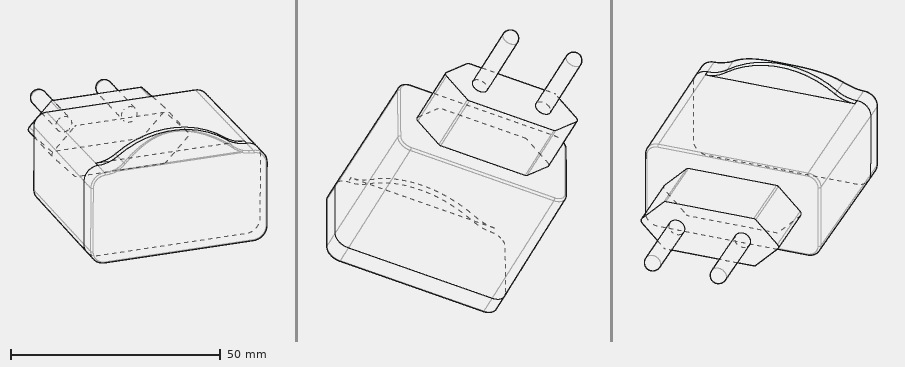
import cadquery as cq
import math


TILT = 0.4

BODY_WIDTH = 45.0
BODY_HEIGHT = 23.5
CORNER_RADIUS = 3.5
DRAFT = 0.43
HOUSING_LENGTH = 34.9
FRONT_EDGE_RADIUS = 0.5
CAP_LENGTH = 5.0
CAP_EDGE_RADIUS = 0.45
SEAM_X = HOUSING_LENGTH
REAR_X = SEAM_X + CAP_LENGTH
BODY_TOP = BODY_HEIGHT / 2

GRIP_HEIGHT = 6.2
GRIP_CREST_RADIUS = 23.6
GRIP_OVERHANG = 1.5

SLOPE_RADIUS = 12.75
SLOPE_DEPTH = 4.6
SLOPE_FOOT = 0.2
SLOPE_FOOT_RADIUS = 0.75

PLUG_LENGTH = 15.95
PLUG_HEIGHT = 13.35
PLUG_TIP_WIDTH = 35.7
PLUG_FLAT_WIDTH = 22.9
PLUG_TIP_RADIUS = 1.0
PLUG_SHOULDER_RADIUS = 0.7

PIN_RADIUS = 2.0
PIN_LENGTH = 18.95
PIN_SPACING = 16.7


def body_section(x):
    """Rounded rectangle shared by the housing and the cap, at position x."""
    outline = cq.Sketch().rect(BODY_WIDTH, BODY_HEIGHT).vertices().fillet(CORNER_RADIUS)
    return cq.Workplane("YZ", origin=(x, 0, 0)).placeSketch(outline)


def grip(x_start, length):
    """Length of the grip: a crest arc that runs into the body top by two foot arcs."""
    half_width = BODY_WIDTH / 2 - CORNER_RADIUS
    center_distance = (half_width**2 + GRIP_HEIGHT**2) / (2 * GRIP_HEIGHT)
    foot_radius = center_distance - GRIP_CREST_RADIUS
    crest_center = BODY_TOP + GRIP_HEIGHT - GRIP_CREST_RADIUS
    foot_center = BODY_TOP + foot_radius
    blend_angle = math.asin(half_width / center_distance)
    blend_y = GRIP_CREST_RADIUS * math.sin(blend_angle)
    blend_z = crest_center + GRIP_CREST_RADIUS * math.cos(blend_angle)
    foot_mid_y = half_width - foot_radius * math.sin(blend_angle / 2)
    foot_mid_z = foot_center - foot_radius * math.cos(blend_angle / 2)
    base_z = BODY_TOP - CORNER_RADIUS
    return (
        cq.Workplane("YZ", origin=(x_start, 0, 0))
        .moveTo(-half_width, base_z)
        .lineTo(-half_width, BODY_TOP)
        .threePointArc((-foot_mid_y, foot_mid_z), (-blend_y, blend_z))
        .threePointArc((0, BODY_TOP + GRIP_HEIGHT), (blend_y, blend_z))
        .threePointArc((foot_mid_y, foot_mid_z), (half_width, BODY_TOP))
        .lineTo(half_width, base_z)
        .close()
        .extrude(length)
    )


def rear_slope():
    """Material removed behind the grip, above a convex arc across the full width."""
    crest_x = REAR_X - SLOPE_DEPTH
    crest_z = BODY_TOP + GRIP_HEIGHT
    foot_z = BODY_TOP + SLOPE_FOOT
    chord = math.hypot(SLOPE_DEPTH, crest_z - foot_z)
    bulge = SLOPE_RADIUS - math.sqrt(SLOPE_RADIUS**2 - (chord / 2)**2)
    mid_x = (crest_x + REAR_X) / 2 + bulge * (crest_z - foot_z) / chord
    mid_z = (crest_z + foot_z) / 2 + bulge * SLOPE_DEPTH / chord
    return (
        cq.Workplane("XZ")
        .moveTo(crest_x, crest_z)
        .threePointArc((mid_x, mid_z), (REAR_X, foot_z))
        .lineTo(REAR_X, crest_z)
        .close()
        .extrude(BODY_WIDTH / 2, both=True)
    )


def make_housing():
    shell = body_section(SEAM_X).extrude(-HOUSING_LENGTH, taper=DRAFT)
    shell = shell.faces("<X").edges().fillet(FRONT_EDGE_RADIUS)
    return shell.union(grip(SEAM_X - GRIP_OVERHANG, GRIP_OVERHANG))


def is_cross_edge(edge):
    """True for a straight edge along Y above the pin axes, on the grip slope."""
    return edge.geomType() == "LINE" and abs(edge.tangentAt(0).y) > 0.99 and edge.Center().z > 0


def make_cap():
    """Rear cap with its share of the grip; rear face and slope have a rounded rim."""
    cap = body_section(SEAM_X).extrude(CAP_LENGTH).union(grip(SEAM_X, CAP_LENGTH))
    cap = cap.cut(rear_slope())
    foot_z = BODY_TOP + SLOPE_FOOT
    slope_foot = cq.selectors.NearestToPointSelector((REAR_X, 0, foot_z))
    cap = cap.edges("|Y").edges(slope_foot).fillet(SLOPE_FOOT_RADIUS)
    behind_seam = cq.selectors.BoxSelector(
        (SEAM_X + CAP_EDGE_RADIUS / 2, -BODY_WIDTH, -BODY_HEIGHT),
        (REAR_X + CAP_LENGTH, BODY_WIDTH, BODY_HEIGHT),
        boundingbox=True,
    )
    rim = cap.edges(behind_seam).filter(lambda edge: not is_cross_edge(edge))
    return rim.fillet(CAP_EDGE_RADIUS)


def make_plug():
    tip = PLUG_TIP_WIDTH / 2
    flat = PLUG_FLAT_WIDTH / 2
    half_height = PLUG_HEIGHT / 2
    block = (
        cq.Workplane("YZ", origin=(-PLUG_LENGTH, 0, 0))
        .polyline([(-tip, 0), (-flat, half_height), (flat, half_height),
                   (tip, 0), (flat, -half_height), (-flat, -half_height)])
        .close()
        .extrude(PLUG_LENGTH)
    )
    block = block.edges("|X and (<Y or >Y)").fillet(PLUG_TIP_RADIUS)
    return block.edges("|X and (<Z or >Z)").fillet(PLUG_SHOULDER_RADIUS)


def make_pin(y):
    """Round pin with a ball end, standing on the front of the plug block."""
    tip_x = -PLUG_LENGTH - PIN_LENGTH
    ball_x = tip_x + PIN_RADIUS
    diagonal = PIN_RADIUS * math.sqrt(0.5)
    return (
        cq.Workplane("XY", origin=(0, y, 0))
        .moveTo(-PLUG_LENGTH, 0)
        .lineTo(-PLUG_LENGTH, -PIN_RADIUS)
        .lineTo(ball_x, -PIN_RADIUS)
        .threePointArc((ball_x - diagonal, -diagonal), (tip_x, 0))
        .close()
        .revolve(360, (0, 0, 0), (1, 0, 0))
    )


def tilted(body):
    return body.rotate((0, 0, 0), (0, 1, 0), TILT)


housing = tilted(make_housing())
cap = tilted(make_cap())
plug = tilted(make_plug())
pins = [tilted(make_pin(side * PIN_SPACING / 2)) for side in (-1, 1)]

result = cq.Compound.makeCompound(
    [housing.val(), cap.val(), plug.val(), *[pin.val() for pin in pins]]
)